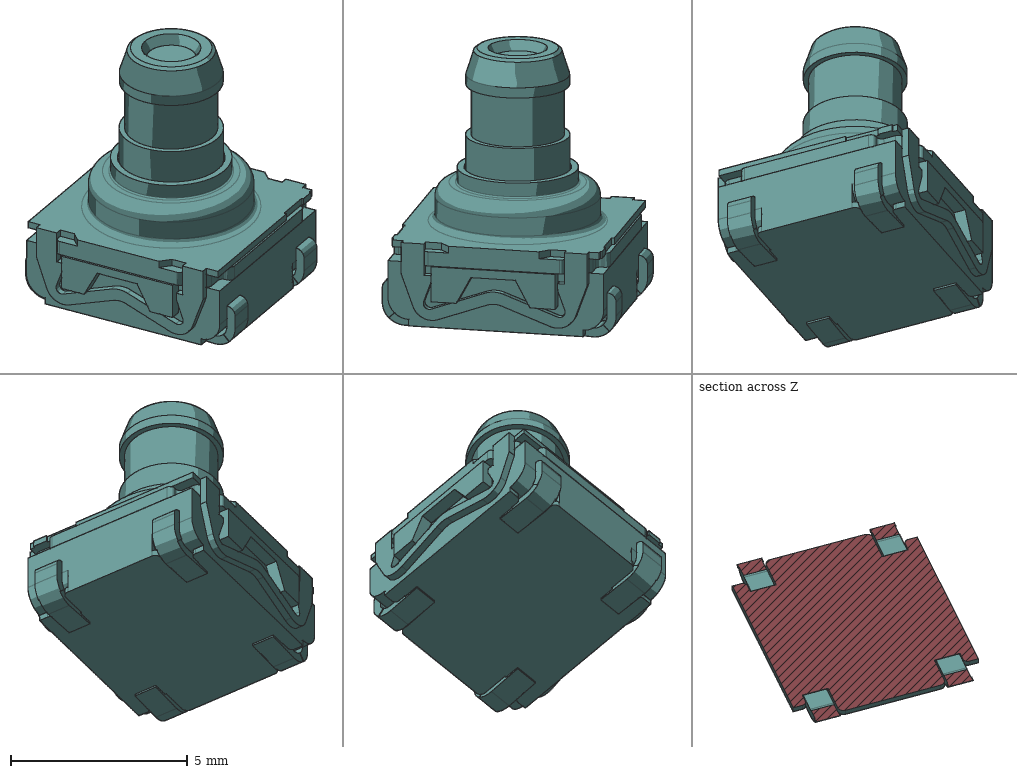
import cadquery as cq
import math


height = 7.7
body_bottom_z = 0.115
body_top_z = 2.0
plate_bottom_z = 2.42
plate_top_z = 2.62

body_half_x = 3.135
body_half_y = 2.795
lower_corner_radius = 0.61
center_half_y = 1.43

keel_half_x = 2.53
keel_top_z = 0.31
channel_inner_y = 1.61
channel_outer_y = 2.37
channel_end_x = 2.155
channel_inner_round = channel_inner_y - center_half_y
channel_outer_round = 0.15

block_half_x = 1.8
block_face_y = 3.15
block_bottom_z = 0.97
notch_top_half = 0.65
notch_bottom_half = 1.07
notch_top_z = 1.755

frame_half_x = 3.14
tab_face_y = 3.08
frame_step_y = 2.11
frame_corner_x = 2.78
frame_radius = 0.155
frame_corner_radius = 0.17
frame_tab_radius = 0.13

plate_half_x = 3.08
plate_recess_x = 3.0
recess_start_y = 1.19
lug_x = 3.06
lug_start_y = 2.21
lug_end_y = 2.65
plate_tab_half = 1.32
plate_tab_root_half = 1.59

strap_face_y = 3.0
strap_outer_x = 2.7
strap_inner_x = 2.04
strap_hook_x = 1.84
strap_bend_z = 1.695
strap_waist_z = 1.5
strap_angle = math.radians(20)
outer_apex_z = 1.01
inner_apex_z = 1.38
outer_apex_radius = 0.615
inner_apex_radius = 0.77
outer_corner_radius = 0.57
inner_corner_radius = 0.17

terminal_outer_x = 6.8 / 2
terminal_pitch_y = 4.005
terminal_width = 0.75
foot_width = 0.71
terminal_top_z = 1.33
terminal_thickness = terminal_outer_x - body_half_x
bend_radius = 0.66
bend_end = 90
width_step = bend_end / 2
foot_end_x = 1.68
foot_end_z = 0.055

dome_radius = 4.7 / 2
dome_top_z = 3.75
dome_edge_radius = 0.4
dome_flare = 0.19
flange_radius = 3.44 / 2
flange_top_z = 4.2
flange_fillet = 0.05
collar_gap_radius = 3.04 / 2
collar_gap_depth = 0.08
collar_radius = 2.965 / 2
collar_top_z = 5.15
stem_radius = 2.65 / 2
head_radius = 2.95 / 2
head_bottom_z = 6.63
head_rim_z = 6.93
head_shoulder_radius = 1.255
head_shoulder_z = 7.62
head_top_radius = 1.155
dimple_top_radius = 0.84
dimple_floor_radius = 0.7
dimple_depth = 0.29


def rounded_outline(plane, corners):
    """Closed wire on a named plane from (u, v, radius) corners; radius 0 stays sharp."""
    path = cq.Workplane(plane)
    count = len(corners)
    for i, (u, v, radius) in enumerate(corners):
        before = cq.Vector(*corners[i - 1][:2])
        after = cq.Vector(*corners[(i + 1) % count][:2])
        corner = cq.Vector(u, v)
        toward_before = (before - corner).normalized()
        toward_after = (after - corner).normalized()
        half_angle = toward_before.getAngle(toward_after) / 2
        setback = radius / math.tan(half_angle)
        start = corner + toward_before * setback
        end = corner + toward_after * setback
        path = path.moveTo(start.x, start.y) if i == 0 else path.lineTo(start.x, start.y)
        if radius > 0:
            bisector = (toward_before + toward_after).normalized()
            middle = corner + bisector * (radius / math.sin(half_angle) - radius)
            path = path.threePointArc((middle.x, middle.y), (end.x, end.y))
    return path.close()


def mirrored(corners):
    """The same corners reflected across the vertical axis, in closing order."""
    return [(-u, *rest) for u, *rest in reversed(corners)]


def wall_slab(outline, inner_y, outer_y):
    """Extrude an XZ outline on the -Y side, from inner_y out to outer_y."""
    return outline.extrude(outer_y - inner_y).translate((0, -inner_y, 0))


def on_both_walls(solid):
    return solid.union(solid.mirror("XZ"))


def four_fold(quarter):
    """Corners of the +X+Y quarter repeated around both axes; quarter runs from +X to +Y."""
    half = [(x, -y, radius) for x, y, radius in reversed(quarter)] + quarter
    return half + mirrored(half)


def make_body():
    """Housing with rounded ends at the four terminals and a square center."""
    half = [
        (body_half_x, keel_top_z, lower_corner_radius),
        (body_half_x, body_top_z, 0),
    ]
    ends = rounded_outline("XZ", half + mirrored(half)).extrude(body_half_y, both=True)
    center = cq.Workplane("XY", origin=(0, 0, body_bottom_z)).rect(2 * body_half_x, 2 * center_half_y)
    return ends.union(center.extrude(body_top_z - body_bottom_z))


def make_keel():
    quarter = [
        (body_half_x, channel_inner_y, channel_inner_round),
        (channel_end_x, channel_inner_y, 0),
        (channel_end_x, channel_outer_y, 0),
        (keel_half_x, channel_outer_y, channel_outer_round),
        (keel_half_x, body_half_y, 0),
    ]
    outline = rounded_outline("XY", four_fold(quarter))
    return outline.extrude(keel_top_z - body_bottom_z).translate((0, 0, body_bottom_z))


def make_side_blocks():
    half = [
        (notch_bottom_half, block_bottom_z),
        (block_half_x, block_bottom_z),
        (block_half_x, body_top_z),
    ]
    notch = [(-notch_top_half, notch_top_z), (notch_top_half, notch_top_z)]
    outline = cq.Workplane("XZ").polyline(half + mirrored(half) + notch).close()
    return on_both_walls(wall_slab(outline, body_half_y, block_face_y))


def make_frame():
    """Layer under the cover: stepped corners and a wide tab over each side block."""
    quarter = [
        (frame_half_x, frame_step_y, frame_radius),
        (frame_corner_x, frame_step_y, frame_radius),
        (frame_corner_x, body_half_y, frame_corner_radius),
        (strap_inner_x, body_half_y, 0),
        (strap_inner_x, tab_face_y, frame_tab_radius),
    ]
    outline = rounded_outline("XY", four_fold(quarter))
    return outline.extrude(plate_bottom_z - body_top_z).translate((0, 0, body_top_z))


def make_plate():
    half = [
        (plate_tab_half, -tab_face_y),
        (plate_tab_root_half, -body_half_y),
        (plate_half_x, -body_half_y),
        (plate_half_x, recess_start_y),
        (plate_recess_x, recess_start_y),
        (plate_recess_x, lug_start_y),
        (lug_x, lug_start_y),
        (lug_x, lug_end_y),
        (plate_recess_x, lug_end_y),
        (plate_recess_x, body_half_y),
        (plate_tab_root_half, body_half_y),
        (plate_tab_half, tab_face_y),
    ]
    outline = cq.Workplane("XY", origin=(0, 0, plate_bottom_z)).polyline(half + mirrored(half))
    return outline.close().extrude(plate_top_z - plate_bottom_z)


def make_straps():
    """M-shaped spring strap on each wall: two legs joined by an arched lower arm."""
    slope = math.tan(strap_angle)
    outer_z = (outer_apex_z - slope * (strap_outer_x - slope * strap_bend_z)) / (1 + slope ** 2)
    outer_x = (outer_apex_z - outer_z) / slope
    inner_x = (strap_hook_x + slope * (strap_waist_z - inner_apex_z)) / (1 - slope ** 2)
    inner_z = inner_apex_z - slope * inner_x
    outer = [
        (outer_x, outer_z, outer_corner_radius),
        (strap_outer_x, strap_bend_z, 0),
        (strap_outer_x, plate_top_z, 0),
    ]
    inner = [
        (strap_inner_x, plate_top_z, 0),
        (strap_inner_x, strap_bend_z, 0),
        (strap_hook_x, strap_bend_z, 0),
        (strap_hook_x, strap_waist_z, 0),
        (inner_x, inner_z, inner_corner_radius),
    ]
    corners = [(0, outer_apex_z, outer_apex_radius)] + outer + inner
    corners += [(0, inner_apex_z, inner_apex_radius)] + mirrored(outer + inner)
    return on_both_walls(wall_slab(rounded_outline("XZ", corners), body_half_y, strap_face_y))


def make_terminal():
    """One +X terminal: upright leg bent into a rising foot, narrower from halfway round the bend."""
    center_x = terminal_outer_x - bend_radius
    inner_radius = bend_radius - terminal_thickness

    def on_bend(radius, degrees):
        """Point on the bend, measured in degrees from the upright toward the foot."""
        angle = math.radians(degrees)
        return center_x + radius * math.cos(angle), bend_radius - radius * math.sin(angle)

    leg = (
        cq.Workplane("XZ")
        .moveTo(body_half_x, terminal_top_z)
        .radiusArc((terminal_outer_x, terminal_top_z - terminal_thickness), terminal_thickness)
        .lineTo(*on_bend(bend_radius, 0))
        .threePointArc(on_bend(bend_radius, width_step / 2), on_bend(bend_radius, width_step))
        .lineTo(*on_bend(inner_radius, width_step))
        .threePointArc(on_bend(inner_radius, width_step / 2), on_bend(inner_radius, 0))
        .close()
        .extrude(terminal_width / 2, both=True)
    )
    foot = (
        cq.Workplane("XZ")
        .moveTo(*on_bend(bend_radius, width_step))
        .threePointArc(on_bend(bend_radius, (width_step + bend_end) / 2), on_bend(bend_radius, bend_end))
        .lineTo(foot_end_x, foot_end_z)
        .lineTo(foot_end_x, terminal_thickness)
        .lineTo(*on_bend(inner_radius, bend_end))
        .threePointArc(on_bend(inner_radius, (width_step + bend_end) / 2), on_bend(inner_radius, width_step))
        .close()
        .extrude(foot_width / 2, both=True)
    )
    return leg.union(foot)


def make_dome_and_plunger():
    """Solid of revolution about Z; the arcs are quarter circles set by their 45-degree points."""
    midpoint_inset = 1 - math.sqrt(0.5)
    flare_mid = dome_flare * midpoint_inset
    edge_mid = dome_edge_radius * midpoint_inset
    fillet_mid = flange_fillet * midpoint_inset
    return (
        cq.Workplane("XZ")
        .moveTo(0, plate_bottom_z)
        .lineTo(dome_radius + dome_flare, plate_bottom_z)
        .lineTo(dome_radius + dome_flare, plate_top_z)
        .threePointArc((dome_radius + flare_mid, plate_top_z + flare_mid),
                       (dome_radius, plate_top_z + dome_flare))
        .lineTo(dome_radius, dome_top_z - dome_edge_radius)
        .threePointArc((dome_radius - edge_mid, dome_top_z - edge_mid),
                       (dome_radius - dome_edge_radius, dome_top_z))
        .lineTo(flange_radius + flange_fillet, dome_top_z)
        .threePointArc((flange_radius + fillet_mid, dome_top_z + fillet_mid),
                       (flange_radius, dome_top_z + flange_fillet))
        .lineTo(flange_radius, flange_top_z)
        .lineTo(collar_gap_radius, flange_top_z)
        .lineTo(collar_gap_radius, flange_top_z - collar_gap_depth)
        .lineTo(collar_radius, flange_top_z - collar_gap_depth)
        .lineTo(collar_radius, collar_top_z)
        .lineTo(stem_radius, collar_top_z)
        .lineTo(stem_radius, head_bottom_z)
        .lineTo(head_radius, head_bottom_z)
        .lineTo(head_radius, head_rim_z)
        .lineTo(head_shoulder_radius, head_shoulder_z)
        .lineTo(head_top_radius, height)
        .lineTo(dimple_top_radius, height)
        .lineTo(dimple_floor_radius, height - dimple_depth)
        .lineTo(0, height - dimple_depth)
        .close()
        .revolve(360, (0, 0, 0), (0, 1, 0))
    )


features = [
    make_keel(),
    make_side_blocks(),
    make_frame(),
    make_plate(),
    make_straps(),
    make_dome_and_plunger(),
]
result = make_body()
for feature in features:
    result = result.union(feature)

terminal = make_terminal()
for side_y in (-1, 1):
    placed = terminal.translate((0, side_y * terminal_pitch_y / 2, 0))
    result = result.union(placed).union(placed.mirror("YZ"))